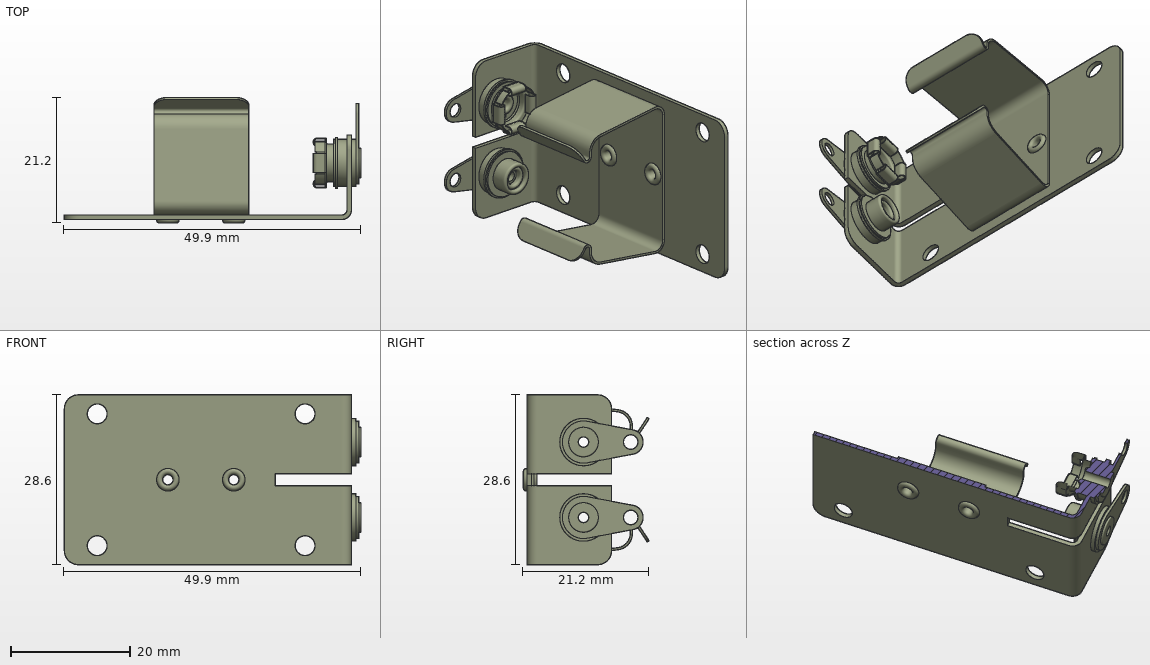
import cadquery as cq
import math

HEIGHT = 28.55
SHEET = 0.8
BEND_RADIUS = 1.7
FLANGE_X = 48.25
FLANGE_Y = 14.25
CORNER_RADIUS = 2.4
SLOT_X = 35.45
SLOT_WIDTH = 2.0

HOLE_RADIUS = 1.65
HOLE_X = (5.55, 40.4)
HOLE_Z = 11.05

CLIP_X = 15.05
CLIP_WIDTH = 15.95
STRIP = 0.4
ARM_SLOPE = 7.0
HEEL_RADIUS = 1.95
HEEL_Z = 13.3
ARM_LENGTH = 12.4
SHOULDER_RADIUS = 2.8
NECK_LENGTH = 0.65
HOOK_RADIUS = 0.5
LIP_ANGLE = 57.0
LIP_LENGTH = 2.85
LIP_CORNER_RADIUS = 2.4

RIVET_X = 17.4
RIVET_SPACING = 11.05
RIVET_RADIUS = 1.9
EYELET_BORE = 0.85
RIVET_FRONT_HEAD = 0.6
RIVET_BACK_HEAD = 0.55

TERMINAL_Y = 9.5
TERMINAL_Z = 6.35
BODY_X = 45.2
BODY_RADIUS = 4.0
RING_X = 45.5
RING_THICKNESS = 0.4
RING_RADIUS = 4.3
LUG_X = 48.95
LUG_THICKNESS = 0.5
LUG_DISC_RADIUS = 3.55
LUG_TIP_Y = 17.45
LUG_TIP_RADIUS = 2.1
LUG_HOLE_RADIUS = 1.2
HEAD_RADIUS = 2.5
HEAD_ROUND = 0.15
END_X = 49.85

CUP_X = 42.05
CUP_BASE_X = 43.75
CUP_BACK_X = 44.0
CUP_RADIUS = 4.15
CUP_WALL = 0.15
CUP_ROUND = 0.2
NECK_RADIUS = 3.2
NECK_ROUND = 0.25
MOUTH_RADIUS = 3.05
MOUTH_ROUND = 0.35
SOCKET_FLOOR_X = 45.55
FLOOR_HEAD = 0.55
PIP_RADIUS = 0.3
PIP_OFFSET = 2.1
PIP_HEIGHT = 0.2

TAB_WIDTH = 3.25
TAB_GAP = 0.25
TAB_OUTER = 4.2
TAB_CURL_RADIUS = 0.7
TAB_TIP_X = 41.75
TAB_INNER_LEG = 1.0

STUD_X = 42.25
STUD_RADIUS = 2.8
STUD_BORE = 2.05
STUD_FLOOR_X = 43.35
STUD_EYELET_BORE = 1.25


def radial(center, radius, degrees):
    """Point at the given angle on a circle."""
    turn = math.radians(degrees)
    return (center[0] + radius * math.cos(turn), center[1] + radius * math.sin(turn))


def disc(x_start, x_end, radius):
    """Cylinder on the X axis."""
    return cq.Workplane("YZ").workplane(offset=x_start).circle(radius).extrude(x_end - x_start)


def rounded_tube(x_start, x_end, radius, bore):
    """Tube on the X axis whose rim at x_start is half round."""
    rim_radius = (radius - bore) / 2
    return (
        cq.Workplane("XY")
        .moveTo(x_end, bore)
        .lineTo(x_start + rim_radius, bore)
        .threePointArc((x_start, bore + rim_radius), (x_start + rim_radius, radius))
        .lineTo(x_end, radius)
        .close()
        .revolve(360, (0, 0, 0), (1, 0, 0))
    )


def make_bracket():
    """Bent sheet with rounded corners, a slot through the flange and four mounting holes."""
    profile = (
        cq.Workplane("XY")
        .moveTo(0, 0)
        .lineTo(FLANGE_X, 0)
        .lineTo(FLANGE_X, FLANGE_Y)
        .lineTo(FLANGE_X - SHEET, FLANGE_Y)
        .lineTo(FLANGE_X - SHEET, SHEET)
        .lineTo(0, SHEET)
        .close()
        .extrude(HEIGHT / 2, both=True)
    )
    bracket = profile.edges("|Z and >X and <Y").fillet(BEND_RADIUS)
    inner_corner = cq.selectors.NearestToPointSelector((FLANGE_X - SHEET, SHEET, 0))
    bracket = bracket.edges("|Z").edges(inner_corner).fillet(BEND_RADIUS - SHEET)
    bracket = bracket.faces("<X").edges("|Y").fillet(CORNER_RADIUS)
    bracket = bracket.faces(">Y").edges("|X").fillet(CORNER_RADIUS)

    slot_length = END_X - SLOT_X
    slot = cq.Workplane("XY").box(slot_length, 2 * FLANGE_Y, SLOT_WIDTH)
    bracket = bracket.cut(slot.translate((SLOT_X + slot_length / 2, FLANGE_Y, 0)))

    hole_places = [(x, z) for x in HOLE_X for z in (-HOLE_Z, HOLE_Z)]
    holes = cq.Workplane("XZ").pushPoints(hole_places).circle(HOLE_RADIUS).extrude(-SHEET)
    return bracket.cut(holes)


def make_clip():
    """Upper half of the clip as a YZ outline, then its mirror image below."""
    slope = math.radians(ARM_SLOPE)
    rise = 90 - ARM_SLOPE
    lip_normal = LIP_ANGLE - 90
    heel = (SHEET + HEEL_RADIUS, HEEL_Z - HEEL_RADIUS)
    arm_start = radial(heel, HEEL_RADIUS, rise)
    arm_end = (arm_start[0] + ARM_LENGTH * math.cos(slope), arm_start[1] - ARM_LENGTH * math.sin(slope))
    shoulder = radial(arm_end, -SHOULDER_RADIUS, rise)
    hook = (shoulder[0] + SHOULDER_RADIUS + HOOK_RADIUS, shoulder[1] - NECK_LENGTH)

    heel_inner = HEEL_RADIUS - STRIP
    shoulder_inner = SHOULDER_RADIUS - STRIP
    hook_outer = HOOK_RADIUS + STRIP
    lip_inner = radial(radial(hook, HOOK_RADIUS, lip_normal), LIP_LENGTH, LIP_ANGLE)
    lip_outer = radial(radial(hook, hook_outer, lip_normal), LIP_LENGTH, LIP_ANGLE)

    half = (
        cq.Workplane("YZ")
        .moveTo(SHEET, 0)
        .lineTo(SHEET, heel[1])
        .threePointArc(radial(heel, HEEL_RADIUS, 135), arm_start)
        .lineTo(*arm_end)
        .threePointArc(radial(shoulder, SHOULDER_RADIUS, 45), radial(shoulder, SHOULDER_RADIUS, 0))
        .lineTo(*radial(hook, HOOK_RADIUS, 180))
        .threePointArc(radial(hook, HOOK_RADIUS, 270), radial(hook, HOOK_RADIUS, lip_normal))
        .lineTo(*lip_inner)
        .lineTo(*lip_outer)
        .lineTo(*radial(hook, hook_outer, lip_normal))
        .threePointArc(radial(hook, hook_outer, 270), radial(hook, hook_outer, 180))
        .lineTo(*radial(shoulder, shoulder_inner, 0))
        .threePointArc(radial(shoulder, shoulder_inner, 45), radial(shoulder, shoulder_inner, rise))
        .lineTo(*radial(heel, heel_inner, rise))
        .threePointArc(radial(heel, heel_inner, 135), radial(heel, heel_inner, 180))
        .lineTo(SHEET + STRIP, 0)
        .close()
        .extrude(CLIP_WIDTH)
        .translate((CLIP_X, 0, 0))
    )
    across_lip = cq.Vector(0, *radial((0, 0), 1, lip_normal))
    half = half.edges(cq.selectors.ParallelDirSelector(across_lip)).fillet(LIP_CORNER_RADIUS)
    return half.union(half.mirror("XY"))


def make_rivet():
    """Eyelet on the Y axis through plate and strip, with a half-round rim on both sides."""
    back = SHEET + STRIP + RIVET_BACK_HEAD
    front_half = rounded_tube(-RIVET_FRONT_HEAD, SHEET, RIVET_RADIUS, EYELET_BORE)
    back_half = rounded_tube(-back, -SHEET, RIVET_RADIUS, EYELET_BORE).mirror("YZ")
    return front_half.union(back_half).rotate((0, 0, 0), (0, 0, 1), 90)


def make_terminal_base():
    """Body, ring, solder lug and outer head, with the terminal axis on the X axis."""
    base = disc(BODY_X, LUG_X, BODY_RADIUS)
    base = base.union(disc(RING_X, RING_X + RING_THICKNESS, RING_RADIUS))

    reach = LUG_TIP_Y - TERMINAL_Y
    tip = (reach, 0)
    lean = math.degrees(math.acos((LUG_DISC_RADIUS - LUG_TIP_RADIUS) / reach))
    lug = (
        cq.Workplane("YZ")
        .workplane(offset=LUG_X)
        .moveTo(*radial((0, 0), LUG_DISC_RADIUS, lean))
        .lineTo(*radial(tip, LUG_TIP_RADIUS, lean))
        .threePointArc(radial(tip, LUG_TIP_RADIUS, 0), radial(tip, LUG_TIP_RADIUS, -lean))
        .lineTo(*radial((0, 0), LUG_DISC_RADIUS, -lean))
        .threePointArc((-LUG_DISC_RADIUS, 0), radial((0, 0), LUG_DISC_RADIUS, lean))
        .close()
        .moveTo(*tip)
        .circle(LUG_HOLE_RADIUS)
        .extrude(LUG_THICKNESS)
    )
    head = disc(LUG_X, END_X, HEAD_RADIUS).faces(">X").edges().fillet(HEAD_ROUND)
    return base.union(lug).union(head)


def make_tab():
    """Curled tab on the +Z side of the socket: outer leg, half-round curl and inner leg."""
    bend = (CUP_BACK_X - CUP_ROUND, TAB_OUTER - CUP_ROUND)
    curl_x = TAB_TIP_X + TAB_CURL_RADIUS
    curl_z = TAB_OUTER - TAB_CURL_RADIUS
    inner_radius = TAB_CURL_RADIUS - CUP_WALL
    return (
        cq.Workplane("XZ")
        .moveTo(CUP_BACK_X, curl_z)
        .lineTo(CUP_BACK_X, bend[1])
        .threePointArc(radial(bend, CUP_ROUND, 45), (bend[0], TAB_OUTER))
        .lineTo(curl_x, TAB_OUTER)
        .threePointArc((TAB_TIP_X, curl_z), (curl_x, curl_z - TAB_CURL_RADIUS))
        .lineTo(curl_x + TAB_INNER_LEG, curl_z - TAB_CURL_RADIUS)
        .lineTo(curl_x + TAB_INNER_LEG, curl_z - inner_radius)
        .lineTo(curl_x, curl_z - inner_radius)
        .threePointArc((curl_x - inner_radius, curl_z), (curl_x, curl_z + inner_radius))
        .lineTo(CUP_BASE_X, curl_z + inner_radius)
        .lineTo(CUP_BASE_X, curl_z)
        .close()
        .extrude(TAB_WIDTH / 2, both=True)
    )


def make_cup():
    """Slotted cup with a narrower neck behind it, open through its whole length."""
    back_bend = (CUP_BACK_X - CUP_ROUND, CUP_RADIUS - CUP_ROUND)
    neck_bend = (CUP_BACK_X + NECK_ROUND, NECK_RADIUS + NECK_ROUND)
    mouth = (CUP_BASE_X + MOUTH_ROUND, MOUTH_RADIUS + MOUTH_ROUND)
    cup = (
        cq.Workplane("XY")
        .moveTo(CUP_X, CUP_RADIUS)
        .lineTo(back_bend[0], CUP_RADIUS)
        .threePointArc(radial(back_bend, CUP_ROUND, 45), (CUP_BACK_X, back_bend[1]))
        .lineTo(CUP_BACK_X, neck_bend[1])
        .threePointArc(radial(neck_bend, NECK_ROUND, 225), (neck_bend[0], NECK_RADIUS))
        .lineTo(BODY_X, NECK_RADIUS)
        .lineTo(BODY_X, MOUTH_RADIUS)
        .lineTo(mouth[0], MOUTH_RADIUS)
        .threePointArc(radial(mouth, MOUTH_ROUND, 225), (CUP_BASE_X, mouth[1]))
        .lineTo(CUP_BASE_X, CUP_RADIUS - CUP_WALL)
        .lineTo(CUP_X, CUP_RADIUS - CUP_WALL)
        .close()
        .revolve(360, (0, 0, 0), (1, 0, 0))
    )
    wall_length = CUP_BASE_X - CUP_X
    opening = cq.Workplane("XY").box(wall_length, 2 * CUP_RADIUS, TAB_WIDTH + 2 * TAB_GAP)
    opening = opening.translate((CUP_X + wall_length / 2, 0, 0))
    return cup.cut(opening).cut(opening.rotate((0, 0, 0), (1, 0, 0), 90))


def make_socket():
    """Terminal with the slotted cup, four curled tabs and an eyelet on its floor."""
    recess = disc(BODY_X, SOCKET_FLOOR_X, MOUTH_RADIUS)
    socket = make_terminal_base().cut(recess).union(make_cup())
    tab = make_tab()
    for quarter in range(4):
        socket = socket.union(tab.rotate((0, 0, 0), (1, 0, 0), 90 * quarter))
    for side in (-1, 1):
        pip = disc(SOCKET_FLOOR_X - PIP_HEIGHT, SOCKET_FLOOR_X, PIP_RADIUS)
        socket = socket.union(pip.translate((0, 0, side * PIP_OFFSET)))
    eyelet = rounded_tube(SOCKET_FLOOR_X - FLOOR_HEAD, LUG_X, RIVET_RADIUS, EYELET_BORE)
    socket = socket.union(eyelet)
    return socket.cut(disc(BODY_X, END_X, EYELET_BORE))


def make_stud():
    """Terminal with a hollow round-rimmed post and an eyelet on its floor."""
    stud = make_terminal_base().union(disc(STUD_FLOOR_X, BODY_X, STUD_RADIUS))
    stud = stud.union(rounded_tube(STUD_X, BODY_X, STUD_RADIUS, STUD_BORE))
    eyelet_back = STUD_FLOOR_X + FLOOR_HEAD
    stud = stud.cut(disc(STUD_FLOOR_X, eyelet_back, STUD_EYELET_BORE))
    stud = stud.union(rounded_tube(STUD_FLOOR_X - FLOOR_HEAD, eyelet_back, STUD_BORE, STUD_EYELET_BORE))
    return stud.cut(disc(STUD_X, END_X, EYELET_BORE))


result = make_bracket().union(make_clip())

rivet = make_rivet()
rivet_bore = cq.Workplane("XZ").circle(EYELET_BORE).extrude(-(SHEET + STRIP))
for rivet_x in (RIVET_X, RIVET_X + RIVET_SPACING):
    place = (rivet_x, 0, 0)
    result = result.cut(rivet_bore.translate(place)).union(rivet.translate(place))

for terminal, terminal_z in ((make_socket(), TERMINAL_Z), (make_stud(), -TERMINAL_Z)):
    bore = disc(FLANGE_X - SHEET, FLANGE_X, EYELET_BORE).translate((0, TERMINAL_Y, terminal_z))
    result = result.union(terminal.translate((0, TERMINAL_Y, terminal_z))).cut(bore)